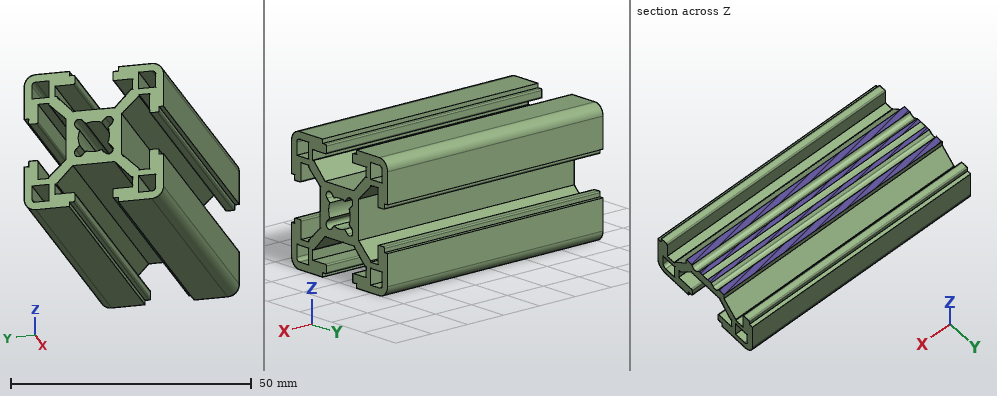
import cadquery as cq
import math

LENGTH = 60.0
SIDE = 30.0
CORNER_RADIUS = 2.5

MOUTH_HALF_WIDTH = 4.1
STEP_HALF_WIDTH = 5.3
STEP_DEPTH = 0.95
LIP_EDGE_RADIUS = 0.3
LIP_THICKNESS = 3.0
CAVITY_HALF_WIDTH = 8.35
CORE_HALF_WIDTH = 6.0
FLOOR_HALF_WIDTH = 4.5
LEDGE_HEIGHT = 9.7
LEDGE_WIDTH = 0.3

HOLLOW_SIZE = 3.65
HOLLOW_WALL = 1.7
HOLLOW_RADIUS = CORNER_RADIUS - HOLLOW_WALL

BORE_HALF_WIDTH = 3.35
BORE_CORNER = 2.5
LOBE_OFFSET = 3.2
LOBE_RADIUS = 0.95

HALF = SIDE / 2
DIAGONAL = math.sqrt(0.5)
QUARTER_TURNS = [0, 90, 180, 270]


def section():
    """Sketch plane of the profile, at the -X end: local x is Y, local y is Z."""
    return cq.Workplane("YZ", origin=(-LENGTH / 2, 0, 0))


def cut_on_each_side(body, cutter):
    """Cut the same shape from all four sides of the profile."""
    for angle in QUARTER_TURNS:
        body = body.cut(cutter.rotate((0, 0, 0), (1, 0, 0), angle))
    return body


def outer_bar():
    return section().rect(SIDE, SIDE).extrude(LENGTH).edges("|X").fillet(CORNER_RADIUS)


def slot_cutter():
    """T-slot opening in +Z: half of its outline, mirrored about the slot centre."""
    step = HALF - STEP_DEPTH
    lip_bottom = HALF - LIP_THICKNESS
    arc_inset = LIP_EDGE_RADIUS * (1 - DIAGONAL)
    return (
        section()
        .moveTo(0, HALF)
        .lineTo(STEP_HALF_WIDTH, HALF)
        .lineTo(STEP_HALF_WIDTH, step)
        .lineTo(MOUTH_HALF_WIDTH + LIP_EDGE_RADIUS, step)
        .threePointArc(
            (MOUTH_HALF_WIDTH + arc_inset, step - arc_inset),
            (MOUTH_HALF_WIDTH, step - LIP_EDGE_RADIUS),
        )
        .lineTo(MOUTH_HALF_WIDTH, lip_bottom + LIP_EDGE_RADIUS)
        .threePointArc(
            (MOUTH_HALF_WIDTH + arc_inset, lip_bottom + arc_inset),
            (MOUTH_HALF_WIDTH + LIP_EDGE_RADIUS, lip_bottom),
        )
        .lineTo(CAVITY_HALF_WIDTH, lip_bottom)
        .lineTo(CAVITY_HALF_WIDTH, LEDGE_HEIGHT)
        .lineTo(CAVITY_HALF_WIDTH - LEDGE_WIDTH, LEDGE_HEIGHT)
        .lineTo(FLOOR_HALF_WIDTH, CORE_HALF_WIDTH)
        .lineTo(0, CORE_HALF_WIDTH)
        .mirrorY()
        .extrude(LENGTH)
    )


def hollow_cutter():
    """Square hollow of the +Y +Z corner, rounded where it faces the outer corner."""
    center = HALF - HOLLOW_WALL - HOLLOW_SIZE / 2
    hollow = section().center(center, center).rect(HOLLOW_SIZE, HOLLOW_SIZE).extrude(LENGTH)
    return hollow.edges("|X").edges(">(0, 1, 1)").fillet(HOLLOW_RADIUS)


def bore_cutter():
    """Bowed square bore, crossed by two round-ended slots along its diagonals."""
    bore = (
        section()
        .moveTo(-BORE_CORNER, BORE_CORNER)
        .threePointArc((0, BORE_HALF_WIDTH), (BORE_CORNER, BORE_CORNER))
        .threePointArc((BORE_HALF_WIDTH, 0), (BORE_CORNER, -BORE_CORNER))
        .threePointArc((0, -BORE_HALF_WIDTH), (-BORE_CORNER, -BORE_CORNER))
        .threePointArc((-BORE_HALF_WIDTH, 0), (-BORE_CORNER, BORE_CORNER))
        .close()
        .extrude(LENGTH)
    )
    slot_length = 2 * (LOBE_OFFSET / DIAGONAL + LOBE_RADIUS)
    for angle in (45, -45):
        bore = bore.union(section().slot2D(slot_length, 2 * LOBE_RADIUS, angle).extrude(LENGTH))
    return bore


result = cut_on_each_side(outer_bar(), slot_cutter())
result = cut_on_each_side(result, hollow_cutter())
result = result.cut(bore_cutter())